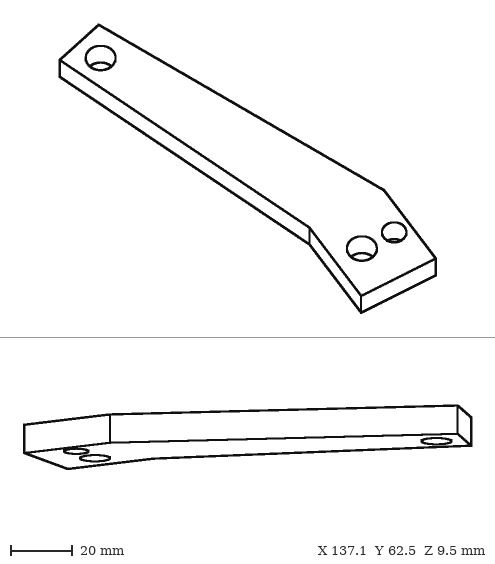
import cadquery as cq

length = 137.1
width = 62.5
thickness = 9.5

head_length = 32.1
head_width = 28.5
bend_x = length - head_length
head_bottom_y = width - head_width

tip_upper_y = 18.2
tip_lower_x = 5.3

large_diameter = 9.7
small_diameter = 8.0
head_hole_x = length - head_length / 2
small_hole_y = width - 6.0
head_hole_spacing = 12.3
large_hole_y = small_hole_y - head_hole_spacing
tip_hole_x = 11.7
tip_hole_y = 11.8

outline = [
    (0, tip_upper_y),
    (tip_lower_x, 0),
    (bend_x, head_bottom_y),
    (length, head_bottom_y),
    (length, width),
    (bend_x, width),
]


def hole_cutter(x, y, diameter):
    """Cylinder through the full plate thickness."""
    return cq.Workplane("XY").center(x, y).circle(diameter / 2).extrude(thickness)


holes = [
    (tip_hole_x, tip_hole_y, large_diameter),
    (head_hole_x, large_hole_y, large_diameter),
    (head_hole_x, small_hole_y, small_diameter),
]

result = cq.Workplane("XY").polyline(outline).close().extrude(thickness)
for x, y, diameter in holes:
    result = result.cut(hole_cutter(x, y, diameter))